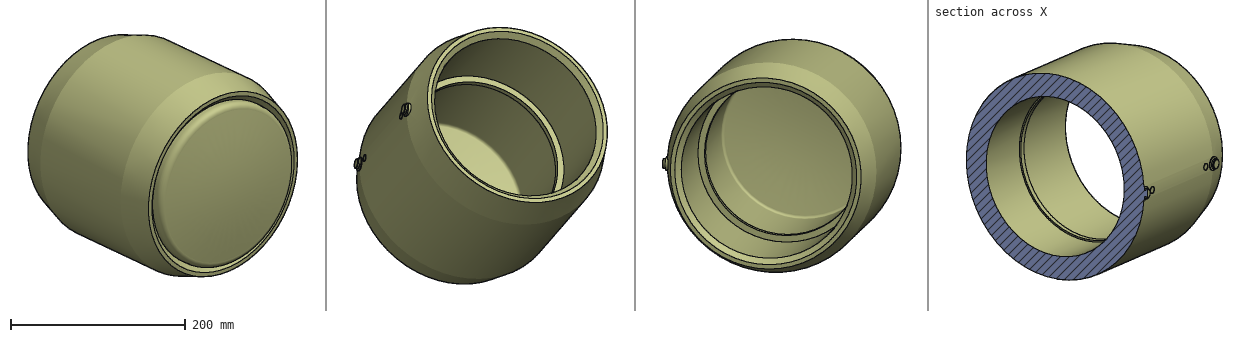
import cadquery as cq
import math

SLEEVE_LENGTH = 215.8
SLEEVE_DIAMETER = 245.0
TAPER_LENGTH = 36.2
END_DIAMETER = 223.0

BORE_DIAMETER = 200.0
MOUTH_DIAMETER = 212.8
MOUTH_DEPTH = 6.2
STOP_DIAMETER = 185.0
STOP_WIDTH = 6.7

CAP_BORE_DIAMETER = 188.9
INNER_DOME_DIAMETER = 181.5
DOME_DIAMETER = 185.0
CAP_SHOULDER = 8.0
DOME_RISE = 8.0

TERMINAL_TOP = 127.0
TERMINAL_DIAMETER = 12.0
TERMINAL_CHAMFER = 0.7
HEAD_THICKNESS = 3.0
NECK_DIAMETER = 8.0
COLLAR_DIAMETER = 16.0
COLLAR_TOP = 123.3
INDICATOR_DIAMETER = 8.0
INDICATOR_TOP = 123.0
INDICATOR_INSET = 52.1
ROOT_Y = 112.3

sleeve_radius = SLEEVE_DIAMETER / 2
end_radius = END_DIAMETER / 2
bore_radius = BORE_DIAMETER / 2
mouth_radius = MOUTH_DIAMETER / 2
stop_radius = STOP_DIAMETER / 2
stop_start = (SLEEVE_LENGTH - STOP_WIDTH) / 2
stop_end = stop_start + STOP_WIDTH


def revolve_about_x(profile):
    return profile.close().revolve(360, (0, 0, 0), (1, 0, 0))


def sleeve():
    profile = (
        cq.Workplane("XY")
        .moveTo(0, mouth_radius)
        .lineTo(0, end_radius)
        .lineTo(TAPER_LENGTH, sleeve_radius)
        .lineTo(SLEEVE_LENGTH - TAPER_LENGTH, sleeve_radius)
        .lineTo(SLEEVE_LENGTH, end_radius)
        .lineTo(SLEEVE_LENGTH, mouth_radius)
        .lineTo(SLEEVE_LENGTH - MOUTH_DEPTH, bore_radius)
        .lineTo(stop_end, bore_radius)
        .lineTo(stop_end, stop_radius)
        .lineTo(stop_start, stop_radius)
        .lineTo(stop_start, bore_radius)
        .lineTo(MOUTH_DEPTH, bore_radius)
    )
    return revolve_about_x(profile)


def cap():
    dome_radius = DOME_DIAMETER / 2
    inner_dome_radius = INNER_DOME_DIAMETER / 2
    cap_bore_radius = CAP_BORE_DIAMETER / 2
    wall = bore_radius - cap_bore_radius
    shoulder_x = SLEEVE_LENGTH + CAP_SHOULDER
    tip_x = shoulder_x + DOME_RISE
    edge_round = bore_radius - dome_radius
    inner_round = cap_bore_radius - inner_dome_radius

    sphere_radius = (dome_radius**2 + DOME_RISE**2) / (2 * DOME_RISE)
    centre_x = tip_x - sphere_radius
    inner_radius = sphere_radius - wall

    def on_sphere(radius, height):
        return (centre_x + math.sqrt(radius**2 - height**2), height)

    inner_rim_x, _ = on_sphere(inner_radius, inner_dome_radius)
    profile = (
        cq.Workplane("XY")
        .moveTo(stop_end, cap_bore_radius)
        .lineTo(stop_end, bore_radius)
        .lineTo(shoulder_x - edge_round, bore_radius)
        .tangentArcPoint((shoulder_x, dome_radius), relative=False)
        .threePointArc(on_sphere(sphere_radius, dome_radius / 2), (tip_x, 0))
        .lineTo(tip_x - wall, 0)
        .threePointArc(
            on_sphere(inner_radius, inner_dome_radius / 2),
            (inner_rim_x, inner_dome_radius),
        )
        .threePointArc(
            (
                inner_rim_x - inner_round * (1 - math.sin(math.pi / 4)),
                cap_bore_radius - inner_round * (1 - math.cos(math.pi / 4)),
            ),
            (inner_rim_x - inner_round, cap_bore_radius),
        )
    )
    return revolve_about_x(profile)


def stud(x, diameter, top_y, root_y=ROOT_Y):
    """Round stud pointing along +Y from root_y to top_y."""
    plane = cq.Plane(origin=(x, root_y, 0), xDir=(1, 0, 0), normal=(0, 1, 0))
    return cq.Workplane(plane).circle(diameter / 2).extrude(top_y - root_y)


def terminal(x):
    head = stud(x, TERMINAL_DIAMETER, TERMINAL_TOP, TERMINAL_TOP - HEAD_THICKNESS)
    head = head.faces(">Y").chamfer(TERMINAL_CHAMFER)
    neck = stud(x, NECK_DIAMETER, TERMINAL_TOP - HEAD_THICKNESS)
    collar = stud(x, COLLAR_DIAMETER, COLLAR_TOP)
    return head.union(neck).union(collar)


result = sleeve().union(cap())
for x in (TAPER_LENGTH, SLEEVE_LENGTH - TAPER_LENGTH):
    result = result.union(terminal(x))
for x in (INDICATOR_INSET, SLEEVE_LENGTH - INDICATOR_INSET):
    result = result.union(stud(x, INDICATOR_DIAMETER, INDICATOR_TOP))